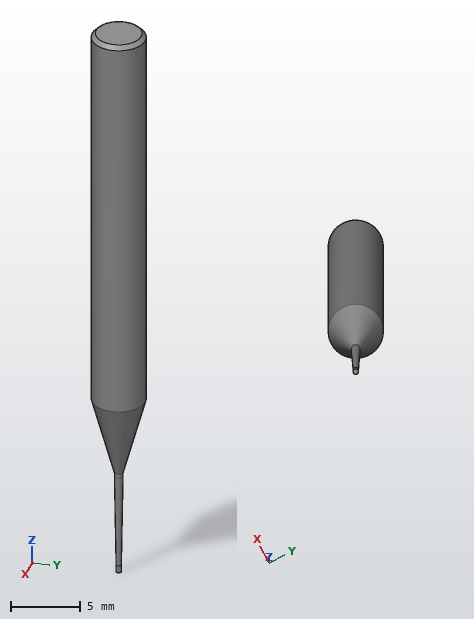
import cadquery as cq

TOTAL_LENGTH = 45.0
SHANK_DIAMETER = 4.0
SHANK_RADIUS = SHANK_DIAMETER / 2
SHANK_CHAMFER = 0.3
SHANK_BOTTOM = 14.5

COLLAR_RADIUS = 0.325
CONE_BOTTOM = 8.3
COLLAR_BOTTOM = 8.0

TIP_LENGTH = 0.6
TIP_RADIUS = 0.202


def make_holder():
    """Turned shank, cone, short collar and tapered neck, revolved about Z."""
    half_profile = (
        cq.Workplane("XZ")
        .moveTo(0, TIP_LENGTH)
        .lineTo(TIP_RADIUS, TIP_LENGTH)
        .lineTo(COLLAR_RADIUS, COLLAR_BOTTOM)
        .lineTo(COLLAR_RADIUS, CONE_BOTTOM)
        .lineTo(SHANK_RADIUS, SHANK_BOTTOM)
        .lineTo(SHANK_RADIUS, TOTAL_LENGTH)
        .lineTo(0, TOTAL_LENGTH)
        .close()
    )
    holder = half_profile.revolve(360, (0, 0), (0, 1))
    return holder.faces(">Z").edges().chamfer(SHANK_CHAMFER)


def make_cutting_tip():
    """Plain cylindrical tip that meets the lower end of the neck."""
    return cq.Workplane("XY").circle(TIP_RADIUS).extrude(TIP_LENGTH)


holder = make_holder()
cutting_tip = make_cutting_tip()

result = cq.Compound.makeCompound([holder.val(), cutting_tip.val()])